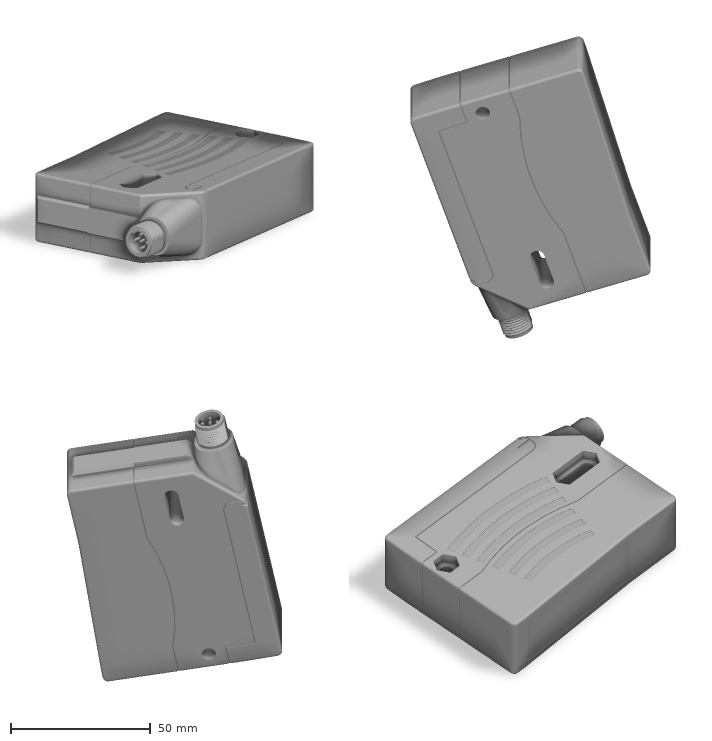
import cadquery as cq
import math

LENGTH = 100.9
WIDTH = 65.5
HEIGHT = 25.8
FRONT_Y = 13.2
CORNER_RADIUS = 2.0
EDGE_RADIUS = 1.0

WALL_DRAFT = 2.6
DRAFT_START_Y = 37.9
DRAFT_END_Y = 95.7
WINDOW_START_Y = 38.9
WINDOW_END_Y = 93.7
WINDOW_HEIGHT = 19.8
WINDOW_DEPTH = 0.1

OUTLET_START_X = 49.1
OUTLET_END_Y = 29.6
BACK_DRAFT_X = 53.3
BACK_DRAFT = 0.3
OUTLET_CORNER_RADIUS = 4.0

MOUNT_X = 39.4
ROUND_HOLE_Y = 94.8
LONG_HOLE_Y = 27.5
HOLE_DIAMETER = 5.1
LONG_HOLE_TRAVEL = 10.9
HEX_FLATS = 8.5
HEX_DEPTH = 4.0

ARC_CENTRE = (-47.6, 64.1)
GRIPS_PER_SHELL = 3
WINDOW_SHELL_GRIP_RADIUS = 60.9
WINDOW_SHELL_GRIP_PITCH = 6.5
MAIN_SHELL_GRIP_RADIUS = 80.4
MAIN_SHELL_GRIP_PITCH = 6.0
GRIP_WIDTH = 3.0
GRIP_HALF_ANGLE = 15.6
GRIP_DEPTH = 0.2

SEAM_WIDTH = 0.5
SEAM_DEPTH = 0.4
SEAM_X = 27.6
SEAM_RADIUS = 79.3
COVER_LEFT_X = 45.7
COVER_STEP_Y = 92.8
COVER_STEP_DROP = 0.3
COVER_INNER_X = 56.5
COVER_FRONT_Y = 28.4
COVER_RADIUS = 3.7
COVER_NOTCH_X = 62.8
COVER_NOTCH_Y = 31.3
NOTCH_DEPTH = 1.8
NOTCH_WIDTH = 0.8
NOTCH_RISE = 1.2
NOTCH_HEIGHT = 3.8
SLIT_X = 61.4
SLIT_WIDTH = 0.8
SLIT_END_Y = 34.7

RIDGE_START_X = 4.9
RIDGE_END_X = 49.2
RIDGE_HEIGHT = 10.1
RIDGE_SLIM_HEIGHT = 9.3
RIDGE_STANDOFF = 2.0
RIDGE_CHAMFER = 1.1
RIDGE_END_BEVEL = 2.0
RIDGE_SIDE_BEVEL = 0.7
FLANK_GROOVE_Y = 12.4
FLANK_GROOVE_WIDTH = 0.7
FLANK_GROOVE_DEPTH = 0.3

CONNECTOR_X = 57.3
BOSS_FACE_Y = 9.3
BOSS_DIAMETER = 14.1
BOSS_END_RADIUS = 6.5
BOSS_START_X = 49.6
BOSS_END_X = 65.4
BOSS_BASE_HEIGHT = 21.9
BOSS_BASE_LEFT_RADIUS = 8.7
BOSS_BASE_RIGHT_RADIUS = 5.5
BOSS_SINK = 0.4
THREAD_DIAMETER = 12.1
CORE_DIAMETER = 10.9
FLATS_WIDTH = 10.8
THREAD_PITCH = 1.0
THREAD_TURNS = 7
TIP_LENGTH = 1.3
TIP_DIAMETER = 10.6
BORE_DIAMETER = 8.3
BORE_DEPTH = 6.1
PIN_CIRCLE_RADIUS = 2.6
PIN_DIAMETER = 1.0
PIN_LENGTH = 4.5
KEY_DIAMETER = 1.0

OUTSIDE = 5.0


def housing_outline():
    return cq.Workplane("XY").workplane(offset=-HEIGHT / 2).polyline([
        (0, LENGTH),
        (BACK_DRAFT_X, LENGTH),
        (WIDTH, LENGTH - BACK_DRAFT),
        (WIDTH, OUTLET_END_Y),
        (OUTLET_START_X, FRONT_Y),
        (WALL_DRAFT, FRONT_Y),
        (WALL_DRAFT, DRAFT_START_Y),
        (0, DRAFT_END_Y),
    ]).close()


def housing():
    block = housing_outline().extrude(HEIGHT)
    rounded_corners = [
        (0, LENGTH, CORNER_RADIUS),
        (WIDTH, LENGTH - BACK_DRAFT, CORNER_RADIUS),
        (WALL_DRAFT, FRONT_Y, CORNER_RADIUS),
        (WIDTH, OUTLET_END_Y, OUTLET_CORNER_RADIUS),
    ]
    for x, y, radius in rounded_corners:
        corner = cq.selectors.NearestToPointSelector((x, y, 0))
        block = block.edges("|Z").edges(corner).fillet(radius)
    return block.faces("|Z").edges().fillet(EDGE_RADIUS)


def seam(region):
    """Groove inside the border of a region, sunk all around the housing surface."""
    border = region.val()
    inner_border = border.offset2D(-SEAM_WIDTH)[0]
    band = cq.Solid.extrudeLinear(border, [inner_border], cq.Vector(0, 0, HEIGHT))
    core = (
        housing_outline().offset2D(-SEAM_DEPTH).extrude(HEIGHT - 2 * SEAM_DEPTH)
        .translate((0, 0, SEAM_DEPTH))
    )
    return cq.Workplane(band).cut(core)


def shell_region():
    centre_x, centre_y = ARC_CENTRE
    half_chord = math.sqrt(SEAM_RADIUS**2 - (SEAM_X - centre_x)**2)
    return (
        cq.Workplane("XY").workplane(offset=-HEIGHT / 2)
        .moveTo(-OUTSIDE, LENGTH + OUTSIDE)
        .lineTo(SEAM_X, LENGTH + OUTSIDE)
        .lineTo(SEAM_X, centre_y + half_chord)
        .threePointArc((centre_x + SEAM_RADIUS, centre_y), (SEAM_X, centre_y - half_chord))
        .lineTo(SEAM_X, -OUTSIDE)
        .lineTo(-OUTSIDE, -OUTSIDE)
        .close()
    )


def cover_region():
    return (
        cq.Workplane("XY").workplane(offset=-HEIGHT / 2)
        .moveTo(COVER_LEFT_X, LENGTH + OUTSIDE)
        .lineTo(COVER_LEFT_X, COVER_STEP_Y)
        .lineTo(COVER_INNER_X, COVER_STEP_Y - COVER_STEP_DROP)
        .lineTo(COVER_INNER_X, COVER_FRONT_Y + COVER_RADIUS)
        .radiusArc((COVER_INNER_X + COVER_RADIUS, COVER_FRONT_Y), -COVER_RADIUS)
        .lineTo(COVER_NOTCH_X, COVER_FRONT_Y)
        .lineTo(WIDTH, COVER_NOTCH_Y)
        .lineTo(WIDTH + OUTSIDE, COVER_NOTCH_Y)
        .lineTo(WIDTH + OUTSIDE, LENGTH + OUTSIDE)
        .close()
    )


def top_plane():
    return cq.Workplane("XY").workplane(offset=HEIGHT / 2)


def cover_slit():
    slit_length = SLIT_END_Y - COVER_FRONT_Y
    return (
        top_plane().center(SLIT_X, COVER_FRONT_Y + slit_length / 2)
        .rect(SLIT_WIDTH, slit_length).extrude(-SEAM_DEPTH)
    )


def cover_notches():
    """Slanted gaps between cover and outlet wall, at the top and bottom of the housing."""
    inner_x = WIDTH - NOTCH_DEPTH
    inner_y = COVER_NOTCH_Y - NOTCH_RISE
    top_gap = top_plane().polyline([
        (inner_x, inner_y),
        (WIDTH, COVER_NOTCH_Y),
        (WIDTH, COVER_NOTCH_Y + NOTCH_WIDTH),
        (inner_x, inner_y + NOTCH_WIDTH),
    ]).close().extrude(-NOTCH_HEIGHT)
    return top_gap.union(top_gap.mirror("XY"))


def window_recess():
    run = DRAFT_END_Y - DRAFT_START_Y
    start_x, end_x = (
        WALL_DRAFT * (DRAFT_END_Y - y) / run for y in (WINDOW_START_Y, WINDOW_END_Y)
    )
    return (
        cq.Workplane("XY").workplane(offset=-WINDOW_HEIGHT / 2)
        .polyline([
            (start_x + WINDOW_DEPTH, WINDOW_START_Y),
            (end_x + WINDOW_DEPTH, WINDOW_END_Y),
            (end_x - OUTSIDE, WINDOW_END_Y),
            (start_x - OUTSIDE, WINDOW_START_Y),
        ]).close().extrude(WINDOW_HEIGHT)
    )


def mounting_hole(y, travel):
    """Through hole with a hexagonal pocket, both stretched along Y by the travel."""
    corner = HEX_FLATS / math.sqrt(3)
    side = HEX_FLATS / 2
    pocket = top_plane().center(MOUNT_X, y).polyline([
        (0, corner + travel / 2),
        (side, corner / 2 + travel / 2),
        (side, -corner / 2 - travel / 2),
        (0, -corner - travel / 2),
        (-side, -corner / 2 - travel / 2),
        (-side, corner / 2 + travel / 2),
    ]).close().extrude(-HEX_DEPTH)
    hole = top_plane().center(MOUNT_X, y)
    if travel:
        hole = hole.slot2D(travel + HOLE_DIAMETER, HOLE_DIAMETER, 90)
    else:
        hole = hole.circle(HOLE_DIAMETER / 2)
    return pocket.union(hole.extrude(-HEIGHT))


def grip_recess(inner_radius):
    outer_radius = inner_radius + GRIP_WIDTH
    half_angle = math.radians(GRIP_HALF_ANGLE)

    def end_point(radius, side):
        return radius * math.cos(half_angle), side * radius * math.sin(half_angle)

    return (
        top_plane().center(*ARC_CENTRE)
        .moveTo(*end_point(inner_radius, -1))
        .threePointArc((inner_radius, 0), end_point(inner_radius, 1))
        .lineTo(*end_point(outer_radius, 1))
        .threePointArc((outer_radius, 0), end_point(outer_radius, -1))
        .close().extrude(-GRIP_DEPTH)
    )


def front_ridge():
    """Bar on the front wall: bevelled flanks up to the seam, slim grooved flanks beyond it."""
    front = FRONT_Y - RIDGE_STANDOFF
    root = FRONT_Y + SEAM_DEPTH
    bar = (
        cq.Workplane("XY")
        .polyline([
            (RIDGE_START_X, root),
            (RIDGE_START_X, front + RIDGE_CHAMFER),
            (RIDGE_START_X + RIDGE_CHAMFER, front),
            (RIDGE_END_X - RIDGE_END_BEVEL, front),
            (RIDGE_END_X, FRONT_Y),
            (RIDGE_END_X, root),
        ]).close().extrude(RIDGE_HEIGHT / 2, both=True)
    )
    root_half = RIDGE_HEIGHT / 2
    front_half = root_half - RIDGE_SIDE_BEVEL
    bevelled = (
        cq.Workplane("YZ")
        .polyline([
            (front, -front_half),
            (front, front_half),
            (front + RIDGE_CHAMFER, root_half),
            (root, root_half),
            (root, -root_half),
            (front + RIDGE_CHAMFER, -root_half),
        ]).close().extrude(SEAM_X)
    )
    slim_length = RIDGE_END_X - SEAM_X
    slim_x = SEAM_X + slim_length / 2
    slim = cq.Workplane("XY").box(slim_length, root - front, RIDGE_SLIM_HEIGHT)
    slim = slim.translate((slim_x, (root + front) / 2, 0))
    for side in (-1, 1):
        groove = cq.Workplane("XY").box(slim_length, FLANK_GROOVE_WIDTH, 2 * FLANK_GROOVE_DEPTH)
        slim = slim.cut(groove.translate((slim_x, FLANK_GROOVE_Y, side * RIDGE_SLIM_HEIGHT / 2)))
    return bar.intersect(bevelled.union(slim))


def rounded_section(plane, width, height, left_radius, right_radius):
    sketch = (
        cq.Sketch().rect(width, height)
        .vertices("<X").fillet(left_radius).reset()
        .vertices(">X").fillet(right_radius).reset()
    )
    return sketch.faces().val().outerWire().moved(plane.location)


def outlet_boss():
    """Tapered boss from just under the sloping outlet wall to the connector face."""
    rise = OUTLET_END_Y - FRONT_Y
    run = WIDTH - OUTLET_START_X
    wall_length = math.hypot(rise, run)
    mid_x = (BOSS_START_X + BOSS_END_X) / 2
    mid_y = FRONT_Y + (mid_x - OUTLET_START_X) * rise / run
    sink_x = -BOSS_SINK * rise / wall_length
    sink_y = BOSS_SINK * run / wall_length
    base_plane = cq.Plane(
        origin=(mid_x + sink_x, mid_y + sink_y, 0),
        xDir=(run, rise, 0),
        normal=(rise, -run, 0),
    )
    base_length = (BOSS_END_X - BOSS_START_X) * wall_length / run
    base = rounded_section(
        base_plane, base_length, BOSS_BASE_HEIGHT, BOSS_BASE_LEFT_RADIUS, BOSS_BASE_RIGHT_RADIUS
    )
    end_plane = cq.Plane(
        origin=(CONNECTOR_X, BOSS_FACE_Y, 0), xDir=(1, 0, 0), normal=(0, -1, 0)
    )
    end = rounded_section(
        end_plane, BOSS_DIAMETER, BOSS_DIAMETER, BOSS_END_RADIUS, BOSS_END_RADIUS
    )
    return cq.Workplane(cq.Solid.makeLoft([base, end], True))


def connector():
    """Threaded plug pointing along -Y: ring grooves, two side flats, keyed bore and pins."""
    crest = THREAD_DIAMETER / 2
    root = CORE_DIAMETER / 2
    tip = TIP_DIAMETER / 2
    thread_end_y = TIP_LENGTH
    thread_start_y = thread_end_y + THREAD_TURNS * THREAD_PITCH
    profile = [(0, FRONT_Y), (root, FRONT_Y), (root, thread_start_y)]
    for turn in range(THREAD_TURNS):
        y = thread_start_y - turn * THREAD_PITCH
        profile.append((crest, y - THREAD_PITCH / 2))
        profile.append((root, y - THREAD_PITCH))
    profile += [(tip, thread_end_y), (tip, 0), (0, 0)]
    plug = cq.Workplane("XY").polyline(profile).close().revolve(360, (0, 0), (0, 1))

    flats = cq.Workplane("XY").box(FLATS_WIDTH, 2 * LENGTH, 2 * HEIGHT)
    plug = plug.intersect(flats)
    tip_plane = cq.Workplane("XZ")
    plug = plug.cut(tip_plane.circle(BORE_DIAMETER / 2).extrude(-BORE_DEPTH))

    spread = PIN_CIRCLE_RADIUS
    bore_floor = tip_plane.workplane(offset=-BORE_DEPTH)
    pins = (
        bore_floor
        .pushPoints([(0, 0), (spread, 0), (-spread, 0), (0, spread), (0, -spread)])
        .circle(PIN_DIAMETER / 2).extrude(PIN_LENGTH)
    )
    key_offset = BORE_DIAMETER / 2 * math.sqrt(0.5)
    key = (
        bore_floor.center(-key_offset, key_offset)
        .circle(KEY_DIAMETER / 2).extrude(PIN_LENGTH)
    )
    return plug.union(pins).union(key).translate((CONNECTOR_X, 0, 0))


result = housing()
for region in (shell_region(), cover_region()):
    result = result.cut(seam(region))
result = result.cut(cover_slit())
result = result.cut(cover_notches())
result = result.cut(window_recess())
result = result.cut(mounting_hole(ROUND_HOLE_Y, 0))
result = result.cut(mounting_hole(LONG_HOLE_Y, LONG_HOLE_TRAVEL))
for index in range(GRIPS_PER_SHELL):
    result = result.cut(grip_recess(WINDOW_SHELL_GRIP_RADIUS + index * WINDOW_SHELL_GRIP_PITCH))
    result = result.cut(grip_recess(MAIN_SHELL_GRIP_RADIUS + index * MAIN_SHELL_GRIP_PITCH))
result = result.union(front_ridge())
result = result.union(outlet_boss())
result = result.union(connector())